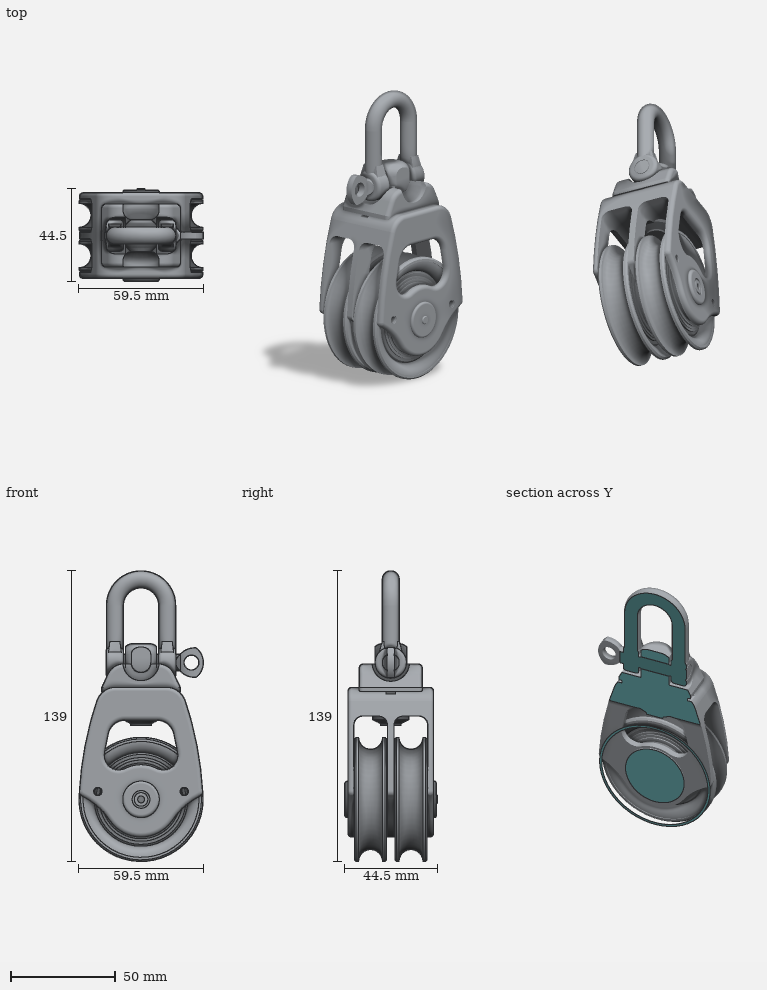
import cadquery as cq
import math


frame_half_y = 20.5
frame_fillet = 1.9
frame_top_z = 53.6
top_flat_half_x = 12.0
shoulder_radius = 9.7
shoulder_angle = math.radians(71.5)
corner = (29.6, 2.3)
corner_radius = 2.2
skirt_radius = 18.0
skirt_angle = math.radians(-34)

web_half = 1.6
slot_outer_y = 17.6
slot_top_z = 39.8
slot_corner_radius = 4.3
slot_depth_z = 80.0
cut_length_x = 80.0

window_top = (14.3, 37.8)
window_foot = (21.0, 5.2)
window_top_radius = 8.0
window_lobe_radius = 7.0
window_hub_radius = 16.6
window_fillet = 2.0

rivet_x = 20.65
rivet_z = 3.8
rivet_hole_dia = 3.3
rivet_mouth_dia = 4.0
rivet_mouth_depth = 0.5

sheave_radius = 29.7
sheave_pitch = 19.3
sheave_half_width = 7.7
groove_root_radius = 24.0
groove_radius = sheave_radius - groove_root_radius
rim_face_radius = 27.7
rim_chamfer = 0.8
dish_outer_half = 7.3
dish_inner_radius = 22.4
dish_mid = (24.2, 5.8)
dish_inner_half = 3.2
web_face_radius = 21.5
web_face_half = 3.8
bearing_ring_radius = 20.0
bearing_ring_half = 4.6
bearing_seat_radius = 18.8
bearing_seat_half = 5.0
bearing_shoulder_radius = 17.4
bearing_shoulder_half = 5.6
hub_radius = 15.5
cap_dia = 17.5
front_cap_height = 1.55
back_cap_height = 1.25
front_cap_fillet = 1.4
back_cap_fillet = 1.0
bolt_groove_outer_dia = 8.5
bolt_groove_inner_dia = 6.5
bolt_groove_depth = 0.6
bolt_socket_dia = 3.3
bolt_socket_depth = 1.5
bolt_tip_dia = 4.0
bolt_tip_height = 0.7
bolt_tip_chamfer = 0.35

pin_z = 65.4
cradle_half_y = 15.1
cradle_half_x = 18.8
cradle_bottom_z = 51.6
cradle_top_z = 64.75
cradle_lip_z = 53.6
cradle_slope_end = (15.7, 60.0)
cradle_arc_end_x = 7.8
cradle_arc_mid = (12.8, 63.4)
cradle_fillet = 2.0
eye_channel_dia = 17.9
side_channel_dia = 17.3
side_channel_end_radius = 4.6
head_ball_dia = 17.9
head_width_x = 15.0
head_width_y = 15.3
head_top_z = 74.5
head_top_fillet = 5.0
drain_width = 4.5
drain_outer_x = 19.3
drain_floor_z = 50.4
drain_depth_x = 2.0
nut_dia = 17.3
nut_bottom_z = 36.3
nut_flat_height = 1.7
stem_dia = 10.0
stem_end_z = 35.4

bow_rod_dia = 8.2
bow_radius = 12.5
bow_top_z = 109.28
bow_center_z = bow_top_z - bow_radius - bow_rod_dia / 2
eye_dia = 15.0
eye_width = 8.3
eye_fillet = 1.7
eye_neck_top_z = 75.5
eye_neck_top_width = 4.8
eye_neck_low_z = 70.0
eye_neck_low_width = 6.2
eye_neck_low_depth = 11.2
pin_dia = 8.0
pin_end_groove_dia = 7.3
pin_end_groove_depth = 0.4
collar_dia = 8.2
tab_start_x = 18.8
tab_thickness = 3.4
tab_corner = (26.3, 7.1)
tab_corner_radius = 0.8
tab_neck_mid = (22.2, 6.45)
tab_tip_x = 59.54 - sheave_radius
tab_hole_x = 24.1
tab_hole_dia = 7.0


def flip(point):
    """Mirror a profile point across the Z axis."""
    return (-point[0], point[1])


def disc_y(radius, y_from, y_to, x=0, z=0):
    """Cylinder along Y between two Y positions."""
    return (
        cq.Workplane("XZ", origin=(x, y_from, z))
        .circle(radius)
        .extrude(-(y_to - y_from))
    )


def disc_x(radius, x_from, x_to, z):
    """Cylinder along X between two X positions."""
    return cq.Workplane("YZ", origin=(x_from, 0, z)).circle(radius).extrude(x_to - x_from)


def disc_z(radius, z_from, z_to):
    """Cylinder along Z between two heights."""
    return cq.Workplane("XY", origin=(0, 0, z_from)).circle(radius).extrude(z_to - z_from)


def make_frame_blank():
    shoulder_center_z = frame_top_z - shoulder_radius

    def shoulder_point(angle):
        return (
            top_flat_half_x + shoulder_radius * math.sin(angle),
            shoulder_center_z + shoulder_radius * math.cos(angle),
        )

    def flare_point(center_angle):
        """Point on the hollow flare that runs tangent out of the round bottom."""
        return (
            flare_center[0] + flare_radius * math.cos(center_angle),
            flare_center[1] + flare_radius * math.sin(center_angle),
        )

    shoulder_mid = shoulder_point(shoulder_angle / 2)
    shoulder_end = shoulder_point(shoulder_angle)

    skirt_direction = (math.cos(skirt_angle), math.sin(skirt_angle))
    corner_reach = corner[0] * skirt_direction[0] + corner[1] * skirt_direction[1]
    corner_distance = math.hypot(*corner)
    flare_radius = (
        (skirt_radius**2 - 2 * skirt_radius * corner_reach + corner_distance**2)
        / (2 * (corner_reach - skirt_radius))
    )
    flare_center = tuple((skirt_radius + flare_radius) * part for part in skirt_direction)
    skirt_end = tuple(skirt_radius * part for part in skirt_direction)
    bottom_angle = (skirt_angle - math.pi / 2) / 2
    bottom_mid = (skirt_radius * math.cos(bottom_angle), skirt_radius * math.sin(bottom_angle))
    corner_angle = math.atan2(corner[1] - flare_center[1], corner[0] - flare_center[0])
    flare_mid = flare_point((corner_angle + skirt_angle + math.pi) / 2)

    half = (
        cq.Workplane("XZ", origin=(0, frame_half_y, 0))
        .moveTo(0, frame_top_z)
        .lineTo(top_flat_half_x, frame_top_z)
        .threePointArc(shoulder_mid, shoulder_end)
        .tangentArcPoint(corner, relative=False)
        .threePointArc(flare_mid, skirt_end)
        .threePointArc(bottom_mid, (0, -skirt_radius))
        .close()
        .extrude(2 * frame_half_y)
    )
    blank = half.union(half.mirror("YZ")).clean()
    for side in (-1, 1):
        tip = cq.selectors.NearestToPointSelector((side * corner[0], 0, corner[1]))
        blank = blank.edges(tip).fillet(corner_radius)
    return blank.faces("<Y or >Y").edges().fillet(frame_fillet)


def make_window_cutter():
    """Tapered opening with round lobes running tangent into an arc round the axle hub."""
    side_length = math.dist(window_top, window_foot)
    side_direction = (
        (window_foot[0] - window_top[0]) / side_length,
        (window_foot[1] - window_top[1]) / side_length,
    )
    side_normal = (-side_direction[1], side_direction[0])
    side_offset = window_top[0] * side_normal[0] + window_top[1] * side_normal[1]

    center_offset = side_offset - window_lobe_radius
    center_reach = window_hub_radius + window_lobe_radius
    center_run = -math.sqrt(center_reach**2 - center_offset**2)
    lobe_center = (
        center_offset * side_normal[0] + center_run * side_direction[0],
        center_offset * side_normal[1] + center_run * side_direction[1],
    )

    def lobe_point(angle):
        return (
            lobe_center[0] + window_lobe_radius * math.cos(angle),
            lobe_center[1] + window_lobe_radius * math.sin(angle),
        )

    side_angle = math.atan2(side_normal[1], side_normal[0])
    hub_angle = math.atan2(lobe_center[1], lobe_center[0]) - math.pi
    lobe_start = lobe_point(side_angle)
    lobe_mid = lobe_point((side_angle + hub_angle) / 2)
    lobe_end = lobe_point(hub_angle)
    cutter = (
        cq.Workplane("XZ", origin=(0, 2 * frame_half_y, 0))
        .moveTo(*flip(window_top))
        .lineTo(*window_top)
        .lineTo(*lobe_start)
        .threePointArc(lobe_mid, lobe_end)
        .threePointArc((0, window_hub_radius), flip(lobe_end))
        .threePointArc(flip(lobe_mid), flip(lobe_start))
        .close()
        .extrude(4 * frame_half_y)
    )
    return cutter.edges("|Y and >Z").fillet(window_top_radius)


def make_frame():
    frame = make_frame_blank()
    for side in (-1, 1):
        slot = (
            cq.Workplane("XY")
            .box(cut_length_x, slot_outer_y - web_half, slot_depth_z)
            .edges("|X and >Z")
            .fillet(slot_corner_radius)
            .translate((0, side * (slot_outer_y + web_half) / 2, slot_top_z - slot_depth_z / 2))
        )
        frame = frame.cut(slot)
    frame = frame.cut(make_window_cutter())
    for side in (-1, 1):
        face_y = side * frame_half_y
        rim = cq.selectors.BoxSelector(
            (-window_foot[0], face_y - window_fillet / 2, 0),
            (window_foot[0], face_y + window_fillet / 2, slot_top_z),
        )
        frame = frame.edges(rim).fillet(window_fillet)

    for side_x in (-1, 1):
        x = side_x * rivet_x
        for side_y in (-1, 1):
            inner = side_y * slot_outer_y
            outer = side_y * frame_half_y
            floor = outer - side_y * rivet_mouth_depth
            frame = frame.cut(disc_y(rivet_hole_dia / 2, inner, outer, x, rivet_z))
            frame = frame.cut(disc_y(rivet_mouth_dia / 2, floor, outer, x, rivet_z))
    return frame


def make_sheave(center_y):
    """Grooved wheel with dished, stepped faces; profile drawn as (radius, axial offset)."""
    half = (
        cq.Workplane("XY")
        .moveTo(0, 0)
        .lineTo(sheave_radius, 0)
        .lineTo(sheave_radius, sheave_half_width - rim_chamfer)
        .lineTo(sheave_radius - rim_chamfer, sheave_half_width)
        .lineTo(rim_face_radius, sheave_half_width)
        .lineTo(rim_face_radius, dish_outer_half)
        .threePointArc(dish_mid, (dish_inner_radius, dish_inner_half))
        .lineTo(web_face_radius, web_face_half)
        .lineTo(bearing_ring_radius, web_face_half)
        .lineTo(bearing_ring_radius, bearing_ring_half)
        .lineTo(bearing_seat_radius, bearing_ring_half)
        .lineTo(bearing_seat_radius, bearing_seat_half)
        .lineTo(bearing_shoulder_radius, bearing_seat_half)
        .lineTo(bearing_shoulder_radius, bearing_shoulder_half)
        .lineTo(hub_radius, bearing_shoulder_half)
        .lineTo(hub_radius, sheave_half_width)
        .lineTo(0, sheave_half_width)
        .close()
        .revolve(360, (0, 0), (0, 1))
    )
    rope_groove = cq.Workplane(
        cq.Solid.makeTorus(sheave_radius, groove_radius, cq.Vector(0, 0, 0), cq.Vector(0, 1, 0))
    )
    sheave = half.union(half.mirror("XZ")).cut(rope_groove)
    return sheave.translate((0, center_y, 0))


def add_axle(block):
    front_face = -frame_half_y - front_cap_height
    back_face = frame_half_y + back_cap_height
    cap_radius = cap_dia / 2
    front_cap = disc_y(cap_radius, front_face, -slot_outer_y).faces("<Y").edges().fillet(front_cap_fillet)
    back_cap = disc_y(cap_radius, slot_outer_y, back_face).faces(">Y").edges().fillet(back_cap_fillet)
    spacer = disc_y(hub_radius, -slot_outer_y, slot_outer_y)
    tip = (
        disc_y(bolt_tip_dia / 2, frame_half_y, back_face + bolt_tip_height)
        .faces(">Y")
        .edges()
        .chamfer(bolt_tip_chamfer)
    )
    block = block.union(front_cap).union(back_cap).union(spacer).union(tip)
    groove_floor = front_face + bolt_groove_depth
    groove = disc_y(bolt_groove_outer_dia / 2, front_face, groove_floor)
    groove = groove.cut(disc_y(bolt_groove_inner_dia / 2, front_face, groove_floor))
    socket = disc_y(bolt_socket_dia / 2, front_face, front_face + bolt_socket_depth)
    return block.cut(groove).cut(socket)


def make_cradle():
    cradle = (
        cq.Workplane("XZ", origin=(0, cradle_half_y, 0))
        .moveTo(-cradle_half_x, cradle_bottom_z)
        .lineTo(cradle_half_x, cradle_bottom_z)
        .lineTo(cradle_half_x, cradle_lip_z)
        .lineTo(*cradle_slope_end)
        .threePointArc(cradle_arc_mid, (cradle_arc_end_x, cradle_top_z))
        .lineTo(-cradle_arc_end_x, cradle_top_z)
        .threePointArc(flip(cradle_arc_mid), flip(cradle_slope_end))
        .lineTo(-cradle_half_x, cradle_lip_z)
        .close()
        .extrude(2 * cradle_half_y)
    )
    cradle = cradle.faces("<Y or >Y").edges().edges("not <Z").fillet(cradle_fillet)
    head_face = head_width_x / 2
    eye_channel = disc_x(eye_channel_dia / 2, head_face, cradle_half_x, pin_z)
    side_channel = disc_y(side_channel_dia / 2, head_face, cradle_half_y, 0, pin_z)
    side_channel = side_channel.faces("<Y").edges().fillet(side_channel_end_radius)
    cradle = cradle.cut(eye_channel).cut(eye_channel.mirror("YZ"))
    return cradle.cut(side_channel).cut(side_channel.mirror("XZ"))


def make_swivel_head():
    """Ball-bottomed eye post with four flats."""
    ball_radius = head_ball_dia / 2
    post = disc_z(ball_radius, pin_z, head_top_z).faces(">Z").edges().fillet(head_top_fillet)
    ball = cq.Workplane("XY").sphere(ball_radius).translate((0, 0, pin_z))
    flats = cq.Workplane("XY").box(head_width_x, head_width_y, 4 * head_ball_dia).translate((0, 0, pin_z))
    return post.union(ball).intersect(flats)


def make_nut():
    ceiling_z = slot_top_z
    nut_height = ceiling_z - nut_bottom_z
    nut = disc_z(nut_dia / 2, nut_bottom_z, ceiling_z)
    nut = nut.faces("<Z").edges().chamfer(nut_height - nut_flat_height, (nut_dia - stem_dia) / 2)
    return nut.union(disc_z(stem_dia / 2, stem_end_z, cradle_bottom_z))


def cut_drains(block):
    for side in (-1, 1):
        drain = (
            cq.Workplane("XY")
            .box(drain_depth_x, drain_width, cradle_bottom_z - drain_floor_z)
            .translate((side * (drain_outer_x - drain_depth_x / 2), 0, (cradle_bottom_z + drain_floor_z) / 2))
        )
        block = block.cut(drain)
    return block


def make_block():
    block = make_frame()
    for side in (-1, 1):
        block = block.union(make_sheave(side * sheave_pitch / 2))
    block = add_axle(block)
    block = block.union(make_cradle())
    block = block.union(make_nut())
    block = block.union(make_swivel_head())
    block = block.cut(disc_x(pin_dia / 2, -cradle_half_x, cradle_half_x, pin_z))
    return cut_drains(block)


def make_bow():
    path = (
        cq.Workplane("XZ")
        .moveTo(-bow_radius, pin_z)
        .lineTo(-bow_radius, bow_center_z)
        .threePointArc((0, bow_center_z + bow_radius), (bow_radius, bow_center_z))
        .lineTo(bow_radius, pin_z)
    )
    return (
        cq.Workplane("XY", origin=(-bow_radius, 0, pin_z))
        .transformed(rotate=(0, 0, 45))
        .circle(bow_rod_dia / 2)
        .sweep(path)
    )


def make_eye(center_x):
    half = eye_width / 2
    eye = disc_x(eye_dia / 2, center_x - half, center_x + half, pin_z)
    eye = eye.edges().fillet(eye_fillet)
    neck = (
        cq.Workplane("XY", origin=(center_x, 0, eye_neck_low_z))
        .rect(eye_neck_low_width, eye_neck_low_depth)
        .workplane(offset=eye_neck_top_z - eye_neck_low_z)
        .rect(eye_neck_top_width, bow_rod_dia)
        .loft(ruled=True)
    )
    return eye.union(neck)


def make_pin_tab():
    """Drilled finger tab and the wedge collar that joins it to the pin."""
    collar_x = bow_radius
    wedge_x = bow_radius + bow_rod_dia / 2
    neck = (tab_start_x, collar_dia / 2)

    def down(point):
        return (point[0], -point[1])

    tab = (
        cq.Workplane("XZ", origin=(0, tab_thickness / 2, pin_z))
        .moveTo(*down(neck))
        .threePointArc(down(tab_neck_mid), down(tab_corner))
        .threePointArc((tab_tip_x, 0), tab_corner)
        .threePointArc(tab_neck_mid, neck)
        .close()
        .extrude(tab_thickness)
    )
    tab = tab.edges("|Y").edges(">X").fillet(tab_corner_radius)
    tab = tab.cut(disc_y(tab_hole_dia / 2, -tab_thickness, tab_thickness, tab_hole_x, pin_z))
    wedge = (
        cq.Workplane("XY", origin=(0, 0, pin_z - collar_dia))
        .moveTo(collar_x, -collar_dia / 2)
        .lineTo(wedge_x, -collar_dia / 2)
        .lineTo(tab_start_x, -tab_thickness / 2)
        .lineTo(tab_start_x, tab_thickness / 2)
        .lineTo(wedge_x, collar_dia / 2)
        .lineTo(collar_x, collar_dia / 2)
        .close()
        .extrude(2 * collar_dia)
    )
    collar = disc_x(collar_dia / 2, collar_x, tab_start_x, pin_z).intersect(wedge)
    return tab.union(collar)


def make_shackle():
    shackle = make_bow()
    for side in (-1, 1):
        shackle = shackle.union(make_eye(side * bow_radius))
    shackle = shackle.union(disc_x(pin_dia / 2, -bow_radius, bow_radius, pin_z))
    shackle = shackle.union(make_pin_tab())
    pin_end_x = -bow_radius - eye_width / 2
    groove_floor_x = pin_end_x + pin_end_groove_depth
    groove = disc_x(pin_dia / 2, pin_end_x, groove_floor_x, pin_z)
    groove = groove.cut(disc_x(pin_end_groove_dia / 2, pin_end_x, groove_floor_x, pin_z))
    return shackle.cut(groove)


block = make_block()
shackle = make_shackle()

result = cq.Compound.makeCompound([block.val(), shackle.val()])